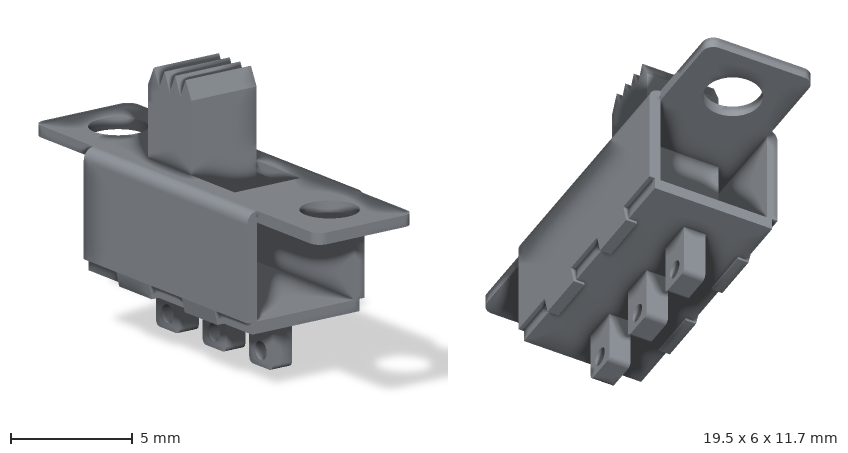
import cadquery as cq


sheet = 0.5
plate_length = 19.5
frame_width = 6.0
plate_width = frame_width - 2 * sheet
plate_corner_radius = 0.5
body_length = 11.23
wall_bottom_z = -4.75
mount_hole_diameter = 2.5
mount_hole_spacing = 14.5

tab_length = body_length / 5
tab_spacing = 2 * tab_length
tab_lean = 0.14
tab_tip_below_base = 0.12

base_thickness = 0.53
base_width = 5.5
base_bottom_z = wall_bottom_z - base_thickness
tab_tip_z = base_bottom_z - tab_tip_below_base

terminal_count = 3
terminal_pitch = 3.2
terminal_width = 1.6
terminal_thickness = 1.0
terminal_bottom_z = -7.66
terminal_corner_radius = 0.23
terminal_hole_diameter = 0.8
terminal_hole_height = 0.68

slider_length = 2.96
slider_width = 3.35
slider_top_z = 4.0
window_length = 6.0
window_width = 3.4
tooth_count = 4
tooth_height = 0.8
end_slope = 0.39
tooth_pitch = (slider_length - 2 * end_slope) / (tooth_count - 1)


def box(x_min, x_max, width, z_min, z_max):
    """Block centred on Y = 0."""
    return (
        cq.Workplane("XY", origin=(0, 0, z_min))
        .moveTo((x_min + x_max) / 2, 0)
        .rect(x_max - x_min, width)
        .extrude(z_max - z_min)
    )


def make_tab(x_center, side):
    """One leaning crimp tab; side is +1 or -1 for the +Y or -Y wall."""
    outer_y = frame_width / 2
    inner_y = plate_width / 2
    profile = [
        (side * outer_y, wall_bottom_z),
        (side * (outer_y - tab_lean), tab_tip_z),
        (side * (inner_y - tab_lean), tab_tip_z),
        (side * inner_y, wall_bottom_z),
    ]
    return (
        cq.Workplane("YZ", origin=(x_center - tab_length / 2, 0, 0))
        .polyline(profile)
        .close()
        .extrude(tab_length)
    )


def make_tabs():
    return [
        make_tab(x_side * tab_spacing / 2, y_side)
        for x_side in (-1, 1)
        for y_side in (-1, 1)
    ]


def make_frame(tabs):
    """Mounting plate with two bent-down side walls, a slider window and crimp tabs."""
    half_body = body_length / 2
    channel = box(-half_body, half_body, frame_width, wall_bottom_z, 0).edges("|X and >Z").fillet(sheet)
    channel = channel.cut(box(-half_body, half_body, plate_width, wall_bottom_z, -sheet))

    half_plate = plate_length / 2
    plate = box(-half_plate, half_plate, plate_width, -sheet, 0).edges("|Z").fillet(plate_corner_radius)

    frame = channel.union(plate)
    for tab in tabs:
        frame = frame.union(tab)

    mount_holes = (
        cq.Workplane("XY", origin=(0, 0, -sheet))
        .rarray(mount_hole_spacing, 0.2, 2, 1)
        .circle(mount_hole_diameter / 2)
        .extrude(sheet)
    )
    window = box(-window_length / 2, window_length / 2, window_width, -sheet, 0)
    return frame.cut(mount_holes).cut(window)


def make_terminal(x_center):
    """Flat solder lug with rounded lower corners and a wire hole."""
    half_width = terminal_width / 2
    lug = box(
        x_center - half_width, x_center + half_width, terminal_thickness, terminal_bottom_z, base_bottom_z
    )
    lug = lug.edges("|Y and <Z").fillet(terminal_corner_radius)
    wire_hole = (
        cq.Workplane("XZ", origin=(x_center, 0, terminal_bottom_z + terminal_hole_height))
        .circle(terminal_hole_diameter / 2)
        .extrude(terminal_thickness, both=True)
    )
    return lug.cut(wire_hole)


def make_base(tabs):
    """Base plate under the walls, notched for the crimp tabs, with a row of terminals."""
    base = box(-body_length / 2, body_length / 2, base_width, base_bottom_z, wall_bottom_z)
    for tab in tabs:
        base = base.cut(tab)
    for index in range(terminal_count):
        x_center = (index - (terminal_count - 1) / 2) * terminal_pitch
        base = base.union(make_terminal(x_center))
    return base


def make_slider():
    """Block standing on the base at the -X end of the window, with a serrated top."""
    root_z = slider_top_z - tooth_height
    outline = [(-slider_length, wall_bottom_z), (-slider_length, root_z)]
    for index in range(tooth_count):
        peak_x = -slider_length + end_slope + index * tooth_pitch
        outline.append((peak_x, slider_top_z))
        if index < tooth_count - 1:
            outline.append((peak_x + tooth_pitch / 2, root_z))
    outline += [(0, root_z), (0, wall_bottom_z)]
    return (
        cq.Workplane("XZ", origin=(0, slider_width / 2, 0))
        .polyline(outline)
        .close()
        .extrude(slider_width)
    )


crimp_tabs = make_tabs()
frame = make_frame(crimp_tabs)
base = make_base(crimp_tabs)
slider = make_slider()

result = cq.Compound.makeCompound([frame.val(), base.val(), slider.val()])